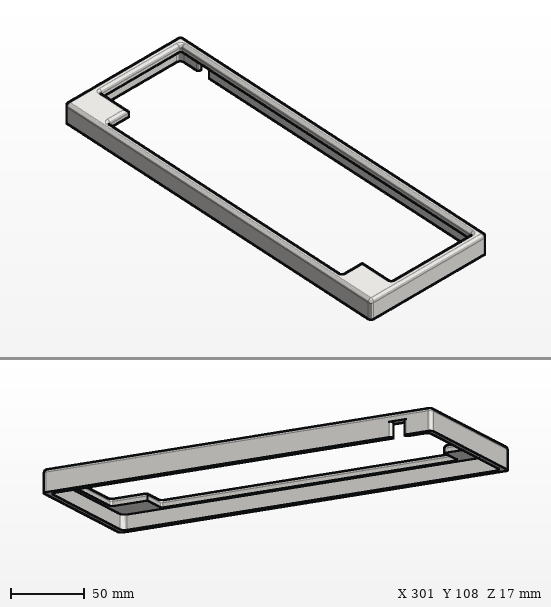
import cadquery as cq

length = 301.0
width = 108.0
height = 17.0
outer_corner_radius = 2.7
top_fillet = 2.7

side_border = 7.5
end_border = 7.0
window_corner_radius = 1.45
tab_inner_x = 114.7
tab_inner_y = -28.0

plate_thickness = 6.0
wall_thickness = 4.2
cavity_corner_radius = 3.5

notch_left = -128.8
notch_width = 9.3
notch_edge_radius = 1.8

clearance = 0.3


def make_body():
    """Rounded rectangular block with a softened top rim."""
    block = cq.Workplane("XY").box(length, width, height, centered=(True, True, False))
    return block.edges("|Z").fillet(outer_corner_radius).faces(">Z").edges().fillet(top_fillet)


def cut_cavity(body):
    """Hollow the block from below, leaving thin walls and the top plate."""
    cavity = (
        cq.Workplane("XY")
        .box(
            length - 2 * wall_thickness,
            width - 2 * wall_thickness,
            height - plate_thickness,
            centered=(True, True, False),
        )
        .edges("|Z")
        .fillet(cavity_corner_radius)
    )
    return body.cut(cavity)


def make_window():
    """T-shaped opening whose two lower steps leave the corner tabs."""
    half_x = length / 2 - side_border
    half_y = width / 2 - end_border
    window = (
        cq.Workplane("XY")
        .polyline([
            (-half_x, half_y),
            (half_x, half_y),
            (half_x, tab_inner_y),
            (tab_inner_x, tab_inner_y),
            (tab_inner_x, -half_y),
            (-tab_inner_x, -half_y),
            (-tab_inner_x, tab_inner_y),
            (-half_x, tab_inner_y),
        ])
        .close()
        .extrude(height)
    )
    tab_tips = cq.selectors.BoxSelector(
        (-tab_inner_x - clearance, tab_inner_y - clearance, 0),
        (tab_inner_x + clearance, tab_inner_y + clearance, height),
    )
    rounded = cq.selectors.SubtractSelector(cq.selectors.ParallelDirSelector(cq.Vector(0, 0, 1)), tab_tips)
    return window.edges(rounded).fillet(window_corner_radius)


def cut_window(body):
    """Open the window and round its upper rim."""
    opened = body.cut(make_window())
    rim = cq.selectors.BoxSelector(
        (-length / 2 + top_fillet + clearance, -width / 2 + top_fillet + clearance, height - clearance),
        (length / 2 - top_fillet - clearance, width / 2 - top_fillet - clearance, height + clearance),
        boundingbox=True,
    )
    return opened.edges(rim).fillet(top_fillet)


def cut_notch(body):
    """Cut the cable notch under the top plate and round its upright edges."""
    cavity_back = width / 2 - wall_thickness
    notch = cq.Workplane("XY").box(
        notch_width, wall_thickness, height - plate_thickness, centered=False
    ).translate((notch_left, cavity_back, 0))
    notch_edges = cq.selectors.BoxSelector(
        (notch_left - clearance, cavity_back - clearance, 0),
        (notch_left + notch_width + clearance, width / 2 + clearance, height - plate_thickness),
    )
    upright = cq.selectors.ParallelDirSelector(cq.Vector(0, 0, 1))
    return body.cut(notch).edges(cq.selectors.AndSelector(upright, notch_edges)).fillet(notch_edge_radius)


result = cut_notch(cut_window(cut_cavity(make_body())))